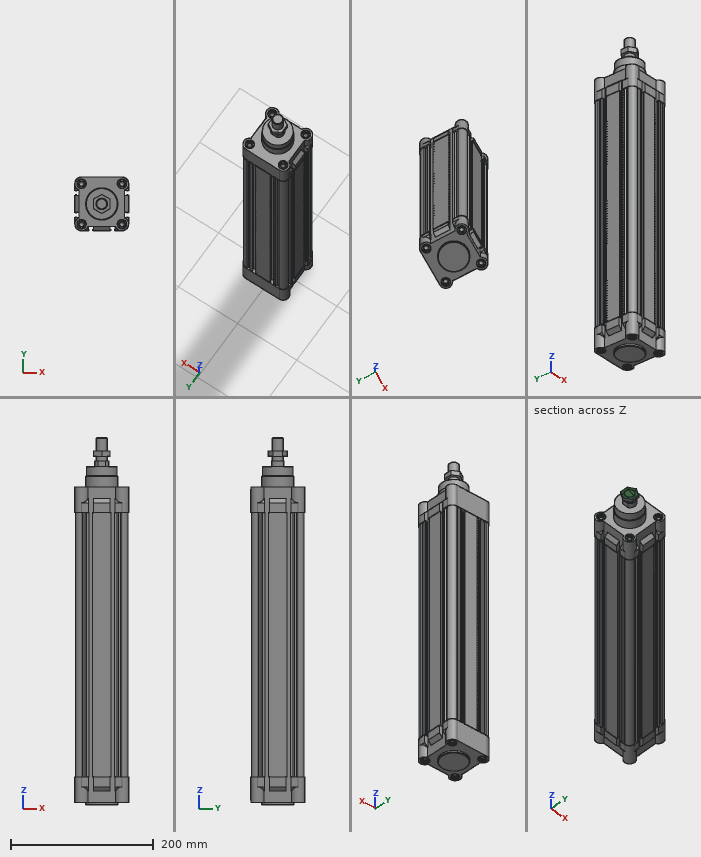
import cadquery as cq
import math

total_length = 514.0
boss_height = 3.5
cap_length = 36.0
front_cap_top = 445.0
collar_step_z = 460.0
collar_top = 473.5
flats_top = 481.5
nut_bottom = 488.0
nut_thickness = 7.5

width = 75.5
half_width = width / 2
post_offset = 28.5
post_radius = half_width - post_offset
core_half = 32.0
pad_half = 12.0
pad_rise = half_width - core_half
pad_height = 14.0
collar_diameter = 45.0
collar_small_diameter = 43.0
collar_chamfer = (collar_diameter - collar_small_diameter) / 2

recess_rim_diameter = 13.5
recess_diameter = 12.0
recess_depth = 1.5
thread_diameter = 8.0
thread_core_diameter = 6.5
thread_chamfer = (thread_diameter - thread_core_diameter) / 2
rim_chamfer = (recess_rim_diameter - recess_diameter) / 2
thread_depth = 2.5
drill_tip_height = thread_core_diameter / 2

barrel_half = 37.0
barrel_corner_radius = barrel_half - post_offset
slot_inner = 13.0
slot_outer = 18.0
slot_depth = 5.0
slot_lip = 1.5
slot_undercut = 1.5
groove_inner = 21.5
groove_outer = 27.0
groove_depth = 2.0
groove_inner_run = groove_depth
groove_outer_run = groove_depth / math.tan(math.radians(60))

rod_diameter = 20.0
rod_flats_width = 17.0
thread_major_diameter = 16.0
rod_tip_chamfer = 1.0
nut_across_flats = 23.0

corner_points = [(sx * post_offset, sy * post_offset) for sx in (-1, 1) for sy in (-1, 1)]


def block(x_min, x_max, y_min, y_max, z_min, z_max):
    """Axis-aligned box between the given limits."""
    size = (x_max - x_min, y_max - y_min, z_max - z_min)
    return cq.Workplane("XY").box(*size, centered=False).translate((x_min, y_min, z_min))


def raised_pad(x_min, x_max):
    """Pad on the -Y face of the cap, with a 45 degree slope at its upper end."""
    slope_top = pad_height + pad_rise
    outline = [
        (0, 0),
        (-half_width, 0),
        (-half_width, pad_height),
        (-core_half, slope_top),
        (0, slope_top),
    ]
    return cq.Workplane("YZ").polyline(outline).close().extrude(x_max - x_min).translate((x_min, 0, 0))


def screw_recess():
    """Cutter for one corner screw recess, opening at the cap's outer end."""
    floor = cap_length - recess_depth
    thread_bottom = floor - thread_depth
    outline = [
        (0, cap_length),
        (recess_rim_diameter / 2, cap_length),
        (recess_diameter / 2, cap_length - rim_chamfer),
        (recess_diameter / 2, floor),
        (thread_diameter / 2, floor),
        (thread_core_diameter / 2, floor - thread_chamfer),
        (thread_core_diameter / 2, thread_bottom),
        (0, thread_bottom - drill_tip_height),
    ]
    return cq.Workplane("XZ").polyline(outline).close().revolve(360, (0, 0, 0), (0, 1, 0))


def end_cap():
    """End cap standing on Z = 0, with its outer end on top and its +Y face flush with the posts."""
    cap = block(-core_half, core_half, -core_half, core_half, 0, cap_length)
    cap = cap.union(block(-post_offset, post_offset, 0, half_width, 0, cap_length))
    cap = cap.union(cq.Workplane("XY").pushPoints(corner_points).circle(post_radius).extrude(cap_length))

    post_inner = post_offset - post_radius
    pad_spans = [(-post_offset, -post_inner), (-pad_half, pad_half), (post_inner, post_offset)]
    for x_min, x_max in pad_spans:
        pad = raised_pad(x_min, x_max)
        for angle in (-90, 0, 90):
            cap = cap.union(pad.rotate((0, 0, 0), (0, 0, 1), angle))

    for x, y in corner_points:
        cap = cap.cut(screw_recess().translate((x, y, 0)))
    return cap


def groove_cutters(length):
    """Corner groove and sensor T-slot on the right half of the -Y face of the barrel."""
    floor = -barrel_half + groove_depth
    groove_outline = [
        (groove_inner, -barrel_half),
        (groove_inner + groove_inner_run, floor),
        (groove_outer - groove_outer_run, floor),
        (groove_outer, -barrel_half),
    ]
    groove = cq.Workplane("XY").polyline(groove_outline).close().extrude(length)
    slot_floor = -barrel_half + slot_depth
    mouth = block(slot_inner, slot_outer, -barrel_half, slot_floor, 0, length)
    cavity = block(
        slot_inner - slot_undercut,
        slot_outer + slot_undercut,
        -barrel_half + slot_lip,
        slot_floor,
        0,
        length,
    )
    return [groove, mouth.union(cavity)]


def barrel(length):
    """Square profile tube body with rounded corners and grooved faces."""
    side = 2 * barrel_half
    body = cq.Workplane("XY").rect(side, side).extrude(length).edges("|Z").fillet(barrel_corner_radius)
    for cutter in groove_cutters(length):
        for half in (cutter, cutter.mirror("YZ")):
            for angle in (0, 90, 180, 270):
                body = body.cut(half.rotate((0, 0, 0), (0, 0, 1), angle))
    return body


def front_collar():
    """Stepped bearing collar on the front cap, with a 45 degree shoulder."""
    wide = cq.Workplane("XY").workplane(offset=front_cap_top).circle(collar_diameter / 2)
    wide = wide.extrude(collar_step_z + collar_chamfer - front_cap_top).faces(">Z").chamfer(collar_chamfer)
    narrow = cq.Workplane("XY").workplane(offset=front_cap_top).circle(collar_small_diameter / 2)
    return wide.union(narrow.extrude(collar_top - front_cap_top))


def rear_boss():
    """Centring boss below the rear cap, chamfered at its free end."""
    boss = cq.Workplane("XY").circle(collar_diameter / 2).extrude(boss_height)
    return boss.faces("<Z").chamfer(collar_chamfer)


def make_housing():
    """Barrel with both end caps, the front collar and the rear boss."""
    barrel_bottom = boss_height + cap_length
    barrel_top = front_cap_top - cap_length
    body = barrel(barrel_top - barrel_bottom).translate((0, 0, barrel_bottom))
    cap = end_cap()
    body = body.union(cap.translate((0, 0, barrel_top)))
    body = body.union(cap.mirror("XY").translate((0, 0, barrel_bottom)))
    return body.union(front_collar()).union(rear_boss())


def make_piston_rod():
    """Rod with two wrench flats and a reduced threaded end, standing on the collar."""
    shank = cq.Workplane("XY").workplane(offset=collar_top).circle(rod_diameter / 2)
    shank = shank.extrude(flats_top - collar_top)
    between_flats = block(
        -rod_diameter, rod_diameter, -rod_flats_width / 2, rod_flats_width / 2, collar_top, flats_top
    )
    thread = cq.Workplane("XY").workplane(offset=flats_top).circle(thread_major_diameter / 2)
    thread = thread.extrude(total_length - flats_top).faces(">Z").chamfer(rod_tip_chamfer)
    return shank.intersect(between_flats).union(thread)


def make_nut():
    """Hexagon lock nut on the rod thread, with two of its flats facing +X and -X."""
    across_corners = nut_across_flats / math.cos(math.radians(30))
    hexagon = cq.Workplane("XY").polygon(6, across_corners).extrude(nut_thickness)
    nut = hexagon.rotate((0, 0, 0), (0, 0, 1), 30).faces(">Z").workplane().hole(thread_major_diameter)
    return nut.translate((0, 0, nut_bottom))


housing = make_housing()
piston_rod = make_piston_rod()
nut = make_nut()

result = cq.Compound.makeCompound([housing.val(), piston_rod.val(), nut.val()])